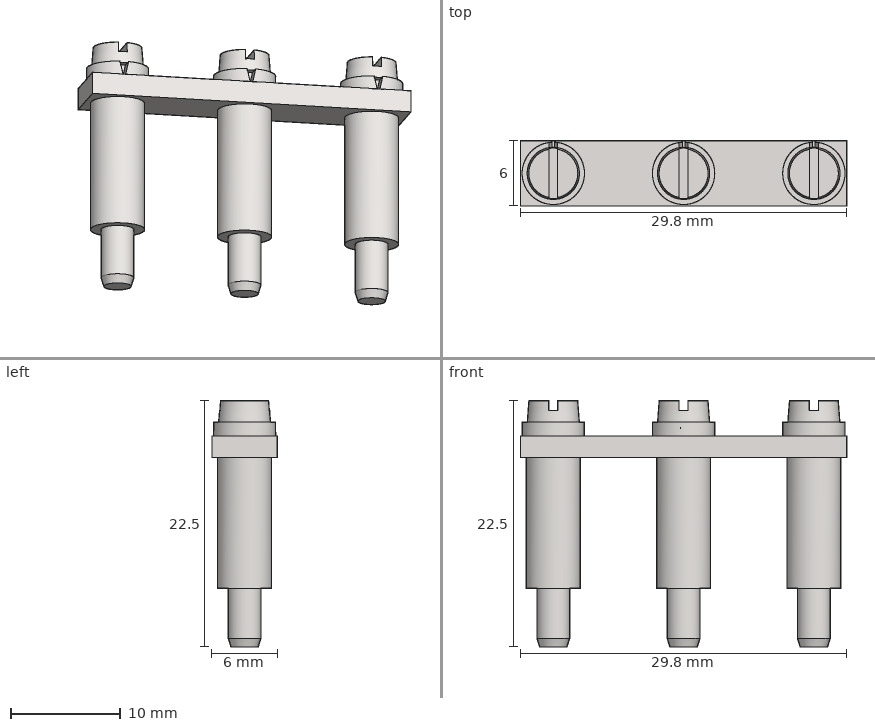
import cadquery as cq

bar_length = 29.8
bar_width = 6.0
bar_thickness = 2.0
screw_pitch = 11.9
screw_places = [-screw_pitch, 0.0, screw_pitch]

washer_diameter = 5.7
washer_thickness = 1.25
split_top_width = 0.8
split_bottom_width = 0.25

head_height = 1.97
head_base_diameter = 4.77
head_top_diameter = 4.47
slot_width = 0.8
slot_depth = 0.9
shank_diameter = 3.0
tip_diameter = 2.5
tip_length = 0.8
shank_exposed = 5.35

sleeve_diameter = 4.95
sleeve_length = 11.92

washer_bottom = bar_thickness
head_bottom = washer_bottom + washer_thickness
head_top = head_bottom + head_height
screw_bottom = -sleeve_length - shank_exposed


def make_bar():
    """Flat bar with one through hole per screw."""
    bar = cq.Workplane("XY").box(bar_length, bar_width, bar_thickness, centered=(True, True, False))
    return (
        bar.faces(">Z").workplane()
        .pushPoints([(x, 0) for x in screw_places])
        .hole(shank_diameter)
    )


def make_ring(outer_diameter, length, bottom):
    """Plain ring that fits closely round the screw shank."""
    return (
        cq.Workplane("XY", origin=(0, 0, bottom))
        .circle(outer_diameter / 2)
        .circle(shank_diameter / 2)
        .extrude(length)
    )


def make_washer():
    """Ring split on its +Y side by a gap that narrows downward."""
    split = (
        cq.Workplane("XZ")
        .polyline([
            (-split_bottom_width / 2, washer_bottom),
            (split_bottom_width / 2, washer_bottom),
            (split_top_width / 2, head_bottom),
            (-split_top_width / 2, head_bottom),
        ])
        .close()
        .extrude(-washer_diameter)
    )
    return make_ring(washer_diameter, washer_thickness, washer_bottom).cut(split)


def make_sleeve():
    """Tube from the underside of the bar down to the exposed shank."""
    return make_ring(sleeve_diameter, sleeve_length, -sleeve_length)


def make_screw():
    """Turned screw, its half profile revolved about Z, with a slot across the head along Y."""
    screw = (
        cq.Workplane("XZ")
        .polyline([
            (0, screw_bottom),
            (tip_diameter / 2, screw_bottom),
            (shank_diameter / 2, screw_bottom + tip_length),
            (shank_diameter / 2, head_bottom),
            (head_base_diameter / 2, head_bottom),
            (head_top_diameter / 2, head_top),
            (0, head_top),
        ])
        .close()
        .revolve(360, (0, 0), (0, 1))
    )
    slot = (
        cq.Workplane("XY", origin=(0, 0, head_top - slot_depth))
        .rect(slot_width, head_base_diameter)
        .extrude(slot_depth)
    )
    return screw.cut(slot)


def place_copies(body):
    """One separate solid of the body at each screw place."""
    return [body.translate((x, 0, 0)).val() for x in screw_places]


bar = make_bar()
washers = place_copies(make_washer())
sleeves = place_copies(make_sleeve())
screws = place_copies(make_screw())

result = cq.Compound.makeCompound([bar.val(), *washers, *sleeves, *screws])